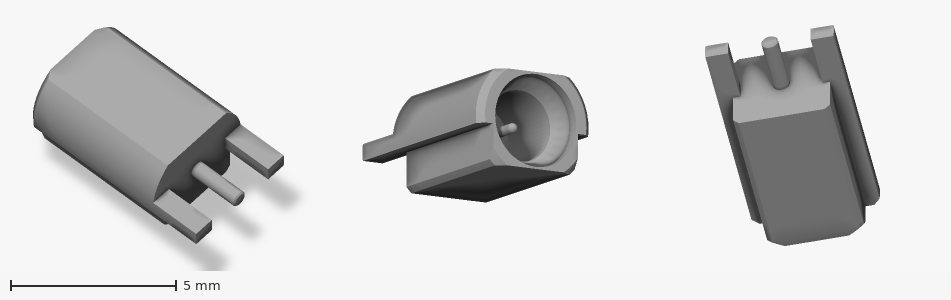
import cadquery as cq

total_length = 6.8
body_length = 5.05
body_radius = 2.0
body_height = 3.0
front_x = -total_length / 2
rear_x = front_x + body_length
end_x = total_length / 2

front_chamfer = 0.205
lower_width = body_height
leg_thickness = 0.52
leg_inner_y = 1.28
step_z = -leg_thickness / 2

mouth_radius = 1.435
bore_radius = 1.1
mouth_depth = 0.4
taper_end_depth = 0.965
bore_depth = 3.4

contact_radius = 0.155
contact_length = 2.04
tail_radius = 0.26
tail_chamfer = 0.05


def x_cylinder(start_x, length, radius):
    """Cylinder on the connector axis, running toward +X."""
    return cq.Workplane("YZ", origin=(start_x, 0, 0)).circle(radius).extrude(length)


def box_between(x_range, y_range, z_range):
    """Box given by its lower and upper limits on each axis."""
    spans = [high - low for low, high in (x_range, y_range, z_range)]
    corner = (x_range[0], y_range[0], z_range[0])
    return cq.Workplane("XY").box(*spans, centered=False).translate(corner)


body = x_cylinder(front_x, body_length, body_radius).faces("<X").chamfer(front_chamfer)
body = body.intersect(cq.Workplane("XY").box(2 * total_length, 2 * body_radius, body_height))
for side in (-1, 1):
    y_range = sorted((side * lower_width / 2, side * body_radius))
    body = body.cut(box_between((front_x, rear_x), y_range, (-body_height, step_z)))

socket = (
    cq.Workplane("XY")
    .moveTo(front_x, 0)
    .lineTo(front_x, mouth_radius)
    .lineTo(front_x + mouth_depth, mouth_radius)
    .lineTo(front_x + taper_end_depth, bore_radius)
    .lineTo(front_x + bore_depth, bore_radius)
    .lineTo(front_x + bore_depth, 0)
    .close()
    .revolve(360, (0, 0, 0), (1, 0, 0))
)
body = body.cut(socket)

leg_stock = x_cylinder(rear_x, end_x - rear_x, body_radius)
for side in (-1, 1):
    y_range = sorted((side * leg_inner_y, side * body_radius))
    leg = leg_stock.intersect(box_between((rear_x, end_x), y_range, (step_z, -step_z)))
    body = body.union(leg)

contact_floor_x = front_x + bore_depth
pin = x_cylinder(contact_floor_x - contact_length, contact_length, contact_radius)
nose = cq.Workplane("XY").sphere(contact_radius).translate((contact_floor_x - contact_length, 0, 0))
tail = x_cylinder(rear_x, end_x - rear_x, tail_radius).faces(">X").chamfer(tail_chamfer)

result = body.union(pin).union(nose).union(tail)